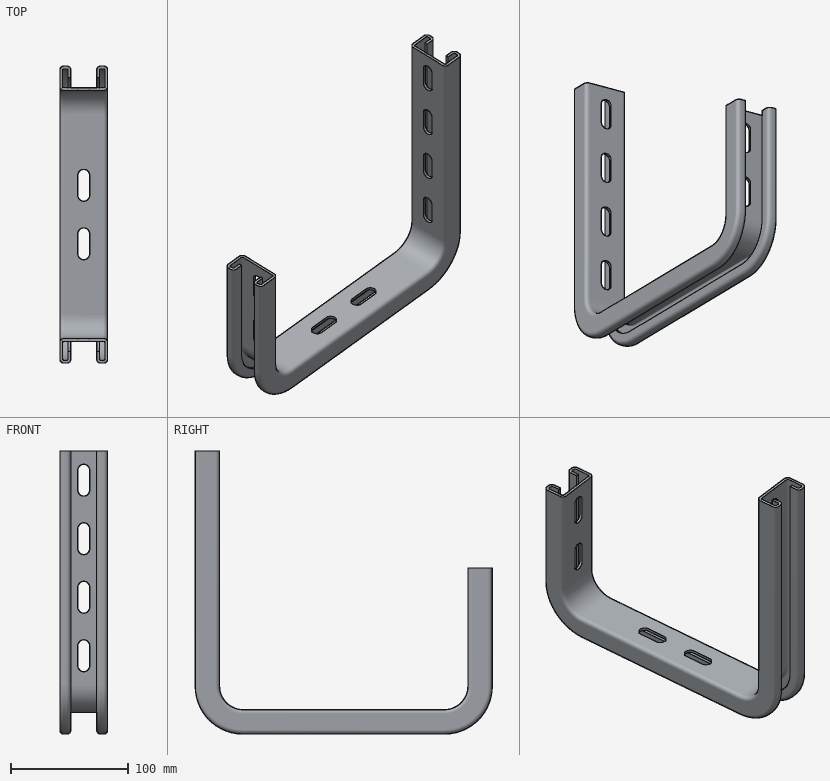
import cadquery as cq
import math

channel_width = 41.0
channel_depth = 21.0
thickness = 2.5
inner_corner_radius = 1.0
outer_corner_radius = inner_corner_radius + thickness
lip_opening = 22.0
lip_length = 10.0

total_length = 254.0
tall_leg_height = 242.0
short_leg_height = 142.0
web_bend_radius = 20.0

slot_length = 27.0
slot_width = 10.0
slot_angle = 90.0
slot_pitch = 50.0
first_slot_from_leg_end = 25.0
tall_leg_slot_count = 4
short_leg_slot_count = 2
base_slot_count = 2

web_face_y = total_length / 2 - channel_depth
web_face_z = channel_depth
slot_cut_depth = 2 * thickness


def point_towards(start, target, distance):
    """Point at a given distance from start on the line to target."""
    scale = distance / math.dist(start, target)
    return (start[0] + (target[0] - start[0]) * scale, start[1] + (target[1] - start[1]) * scale)


def add_rounded_outline(plane, corners):
    """Closed outline through square (point, radius) corners, the first one sharp."""
    first_point, _ = corners[0]
    outline = plane.moveTo(*first_point)
    following_corners = corners[2:] + corners[:1]
    for (before, _), (corner, radius), (after, _) in zip(corners, corners[1:], following_corners):
        if radius == 0:
            outline = outline.lineTo(*corner)
            continue
        arc_start = point_towards(corner, before, radius)
        arc_end = point_towards(corner, after, radius)
        outline = outline.lineTo(*arc_start).tangentArcPoint(arc_end, relative=False)
    return outline.close()


def channel_section_corners():
    """Corners of the channel section on the end of the short leg, lips pointing to +Y."""
    outer_x = channel_width / 2
    inner_x = outer_x - thickness
    lip_x = lip_opening / 2
    lip_inner_x = lip_x + thickness
    web_y = web_face_y
    web_inner_y = web_y + thickness
    front_y = web_y + channel_depth
    front_inner_y = front_y - thickness
    lip_end_y = front_y - lip_length
    right_half = [
        ((lip_x, lip_end_y), 0),
        ((lip_x, front_y), outer_corner_radius),
        ((outer_x, front_y), outer_corner_radius),
        ((outer_x, web_y), outer_corner_radius),
    ]
    right_half_inside = [
        ((inner_x, web_inner_y), inner_corner_radius),
        ((inner_x, front_inner_y), inner_corner_radius),
        ((lip_inner_x, front_inner_y), inner_corner_radius),
        ((lip_inner_x, lip_end_y), 0),
    ]
    left_half = [((-x, y), radius) for (x, y), radius in reversed(right_half)]
    left_half_inside = [((-x, y), radius) for (x, y), radius in reversed(right_half_inside)]
    return right_half + left_half + left_half_inside + right_half_inside


def make_channel():
    """Sweep the section down the short leg, along the base and up the tall leg."""
    bend_start_z = web_face_z + web_bend_radius
    base_end_y = web_face_y - web_bend_radius
    path = (
        cq.Workplane("YZ")
        .moveTo(web_face_y, short_leg_height)
        .lineTo(web_face_y, bend_start_z)
        .tangentArcPoint((base_end_y, web_face_z), relative=False)
        .lineTo(-base_end_y, web_face_z)
        .tangentArcPoint((-web_face_y, bend_start_z), relative=False)
        .lineTo(-web_face_y, tall_leg_height)
    )
    plane = cq.Workplane("XY", origin=(0, 0, short_leg_height))
    return add_rounded_outline(plane, channel_section_corners()).sweep(path)


def make_leg_slots(web_y, leg_height, count):
    """Row of upright slots through the web of a leg, counted down from its open end."""
    centres = [(0, leg_height - first_slot_from_leg_end - i * slot_pitch) for i in range(count)]
    return (
        cq.Workplane("XZ", origin=(0, web_y, 0))
        .pushPoints(centres)
        .slot2D(slot_length, slot_width, slot_angle)
        .extrude(slot_cut_depth, both=True)
    )


def make_base_slots():
    """Row of slots through the base web, centred and running along Y."""
    return (
        cq.Workplane("XY", origin=(0, 0, web_face_z))
        .rarray(1, slot_pitch, 1, base_slot_count)
        .slot2D(slot_length, slot_width, slot_angle)
        .extrude(slot_cut_depth, both=True)
    )


result = (
    make_channel()
    .cut(make_leg_slots(-web_face_y, tall_leg_height, tall_leg_slot_count))
    .cut(make_leg_slots(web_face_y, short_leg_height, short_leg_slot_count))
    .cut(make_base_slots())
)